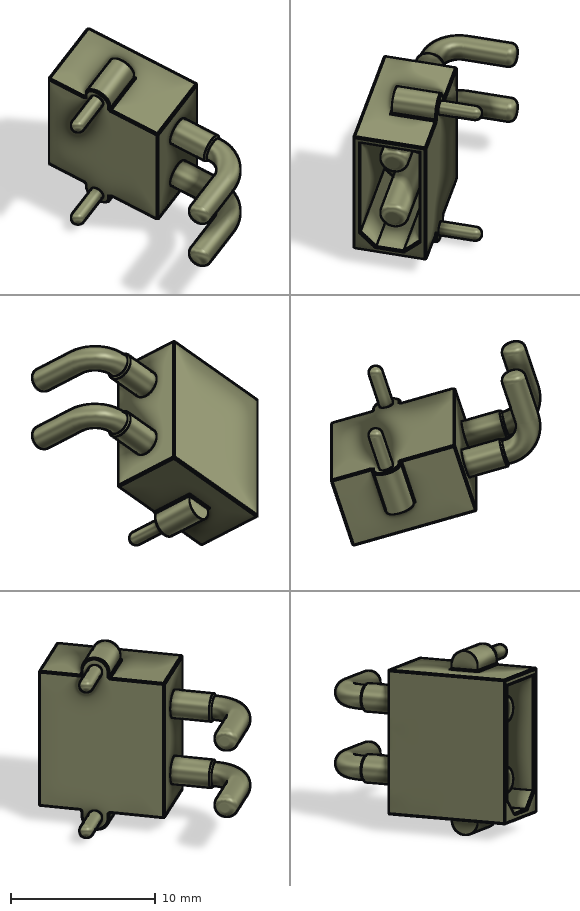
import cadquery as cq
import math


overall_length = 14.9
overall_depth = 8.2
overall_height = 13.0

housing_length = 9.0
housing_depth = 5.2
housing_height = 10.2
edge_break = 0.1

wall = 0.5
cavity_length = 7.0
key_chamfer = 1.12
cavity_width = housing_depth - 2 * wall
cavity_height = housing_height - 2 * wall

lug_x = 4.04
lug_radius = 1.0
lug_depth = 3.2
lug_z = overall_height / 2 - lug_radius

peg_diameter = 1.0
peg_radius = peg_diameter / 2
peg_length = overall_depth - housing_depth

contact_pitch = 5.0
contact_radius = 1.0
contact_tip_x = 0.88
contact_y = housing_depth / 2
tail_radius = 0.85
tail_x = overall_length - tail_radius
tail_end_y = -peg_length
bend_radius = 2.0
shoulder_reach = 2.9
shoulder_x = housing_length + shoulder_reach
shoulder_chamfer = contact_radius - tail_radius
tip_fillet = 0.5

upper_and_lower = (1, -1)


def lug(side):
    """Round-topped lug on the upper (side = 1) or lower (side = -1) housing face."""
    barrel = cq.Workplane("XZ", origin=(lug_x, 0, side * lug_z)).circle(lug_radius).extrude(-lug_depth)
    web = (
        cq.Workplane("XY")
        .box(2 * lug_radius, lug_depth, lug_z, centered=(True, False, True))
        .translate((lug_x, 0, side * lug_z / 2))
    )
    return barrel.union(web)


def lug_root_edges(body, side):
    """The three inside edges where a lug meets the housing face."""
    margin = 0.01
    root_z = side * housing_height / 2
    root_zone = cq.selectors.BoxSelector(
        (lug_x - lug_radius - margin, -margin, root_z - margin),
        (lug_x + lug_radius + margin, lug_depth + margin, root_z + margin),
    )
    return body.edges(root_zone)


def outer_shell():
    """Block with both lugs and its broken outer edges, before the cavity is cut."""
    body = (
        cq.Workplane("XY")
        .box(housing_length, housing_depth, housing_height, centered=(False, False, True))
        .edges("not <Y")
        .chamfer(edge_break)
    )
    for side in upper_and_lower:
        body = body.union(lug(side))
    for side in upper_and_lower:
        body = lug_root_edges(body, side).chamfer(edge_break)
    return body.faces("<Y").edges().chamfer(edge_break)


def cavity():
    """Keyed pocket open on the mating face."""
    return (
        cq.Workplane("YZ", origin=(0, contact_y, 0))
        .rect(cavity_width, cavity_height)
        .extrude(cavity_length)
        .edges("|X and <Z")
        .chamfer(key_chamfer)
    )


def make_contact(z):
    """Bent contact with its thick pin along X and its tail bent toward -Y."""
    pin_length = shoulder_x - contact_tip_x
    pin = (
        cq.Workplane("YZ", origin=(contact_tip_x, contact_y, z))
        .circle(contact_radius)
        .extrude(pin_length)
        .faces("<X")
        .edges()
        .fillet(tip_fillet)
        .faces(">X")
        .edges()
        .chamfer(shoulder_chamfer)
    )
    bend_midpoint_offset = bend_radius * math.sqrt(0.5)
    bend_x = tail_x - bend_radius
    bend_y = contact_y - bend_radius
    path = (
        cq.Workplane("XY", origin=(0, 0, z))
        .moveTo(shoulder_x, contact_y)
        .lineTo(bend_x, contact_y)
        .threePointArc((bend_x + bend_midpoint_offset, bend_y + bend_midpoint_offset), (tail_x, bend_y))
        .lineTo(tail_x, tail_end_y)
    )
    tail = (
        cq.Workplane("YZ", origin=(shoulder_x, contact_y, z))
        .circle(tail_radius)
        .sweep(path)
        .faces("<Y")
        .edges()
        .fillet(tip_fillet)
    )
    return pin.union(tail)


def make_housing():
    """Shell with its mating cavity and a bore through the back wall for each contact."""
    body = outer_shell().cut(cavity())
    cavity_mouth = body.faces("<X").val().innerWires()[0]
    body = body.newObject(cavity_mouth.Edges()).chamfer(edge_break)
    for side in upper_and_lower:
        bore = (
            cq.Workplane("YZ", origin=(0, contact_y, side * contact_pitch / 2))
            .circle(contact_radius)
            .extrude(housing_length)
        )
        body = body.cut(bore)
    return body


def make_peg(side):
    """Round-ended peg standing on the mounting face, in line with its lug."""
    return (
        cq.Workplane("XY", origin=(lug_x, 0, side * lug_z))
        .lineTo(peg_radius, 0)
        .lineTo(peg_radius, peg_radius - peg_length)
        .radiusArc((0, -peg_length), peg_radius)
        .close()
        .revolve(360, (0, 0, 0), (0, 1, 0))
    )


housing = make_housing()
contacts = [make_contact(side * contact_pitch / 2) for side in upper_and_lower]
pegs = [make_peg(side) for side in upper_and_lower]

result = cq.Compound.makeCompound(
    [
        housing.val(),
        *[contact.val() for contact in contacts],
        *[peg.val() for peg in pegs],
    ]
)